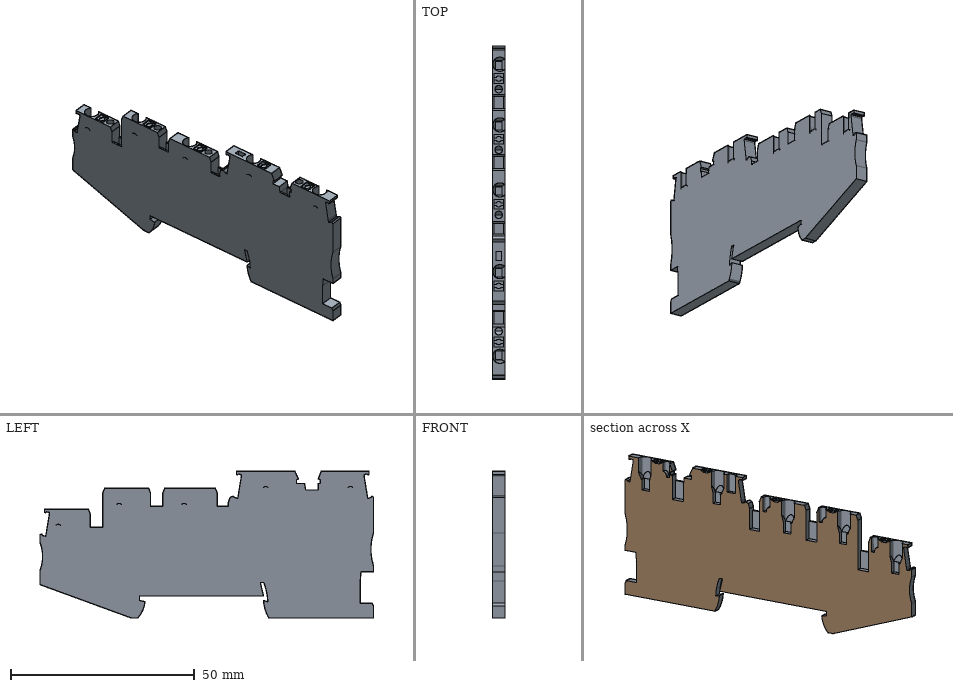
import cadquery as cq
import math

THICKNESS = 3.5
LENGTH = 90.8
HEIGHT = 40.0
HALF_X = THICKNESS / 2
FRONT = -LENGTH / 2
BACK = LENGTH / 2

LOW_DECK = 29.7
MID_DECK = 35.4
HIGH_DECK = HEIGHT

GAP_LOW = (FRONT + 73.75, FRONT + 77.05)
GAP_MID = (FRONT + 57.4, FRONT + 60.65)
GAP_STEP = (FRONT + 39.55, FRONT + 42.5)
GAP_HIGH = (FRONT + 15.1, FRONT + 18.45)
GAP_DEPTH = 4.9
LOW_FLOOR = LOW_DECK - GAP_DEPTH
MID_FLOOR = MID_DECK - GAP_DEPTH
HIGH_FLOOR = HIGH_DECK - 5.1

SHELF_HEIGHT = 36.7
UNDERCUT_HEIGHT = 37.65
NOSE_HEIGHT = 37.85
SHELF_FRONT = FRONT + 14.55
SHELF_BACK = FRONT + 20.95
NOSE_OVERHANG = 0.55
NOSE_SLOPE_FRONT = 0.85
NOSE_SLOPE_BACK = 1.0
HIGH_WALL_LEAN = 0.3

BEVEL_RUN = 0.55
BEVEL_DROP = 1.4

LIP_FRONT = FRONT + 1.2
LIP_STEP = FRONT + 37.35
LIP_BACK = BACK - 1.2
LIP_HEIGHT = 0.85
NECK_TOP_INSET = 1.35
NECK_FOOT_INSET = 0.45
NECK_FOOT_DROP = 7.2

HOLLOW_DEPTH = 0.7
FRONT_HOLLOW = (14.2, 23.2)
BACK_HOLLOW = (13.0, 20.6)

FOOT_HEIGHT = 4.1
FOOT_CHAMFER_RUN = 0.4
FOOT_CHAMFER_DROP = 0.8
SLOT_TOP = 12.6
SLOT_BEND = 10.1
SLOT_DEPTH = 3.6
SLOT_TOP_DEPTH = 3.4

HUMP_HEIGHT = 0.4
SHOULDER_HEIGHT = 31.5

BELLY_HEIGHT = 9.1
BELLY_END = FRONT + 65.9
SEAT_HEIGHT = 6.0
SEAT_BACK = FRONT + 63.7
SEAT_FRONT = FRONT + 29.9
CLAW_HEIGHT = 4.5
CLAW_ROOT_HEIGHT = 4.85
FIXED_CLAW_FOOT = FRONT + 64.2
FIXED_CLAW_BELLY = (FRONT + 62.9, 1.9)
FIXED_CLAW_TIP = FRONT + 62.2
SLIT_TOP = 9.7
SLIT_WIDTH = 0.9
SLIT_BELLY = (FRONT + 29.2, 7.4)
SLIT_FOOT = FRONT + 28.8
SPRUNG_CLAW_TIP = FRONT + 30.0
SPRUNG_CLAW_BELLY = (FRONT + 29.5, 2.2)
SPRUNG_CLAW_FOOT = FRONT + 28.5

ENTRY_RADIUS = 1.93
ENTRY_SHIFT_X = 0.33
ENTRY_DEPTH = 4.0
FUNNEL_DEPTH = 2.0
FUNNEL_SIDE = 2 * ENTRY_RADIUS + 0.1
WIRE_SLOT_X = 1.9
WIRE_SLOT_Y = 2.2
WIRE_SLOT_SHIFT = 0.3
WIRE_SLOT_DEPTH = 3.0
SLOT_LEDGE = 0.25

BUTTON_OFFSET = 3.9
BUTTON_X = 2.46
BUTTON_Y = 2.65
BUTTON_RECESS = 0.3
BUTTON_HEAD_RADIUS = 0.75
DRIVER_SLOT_WIDTH = 0.7
HEAD_DEPTH = 0.3

TEST_OFFSET = 6.8
TEST_RADIUS = 1.0
TEST_DEPTH = 4.0
TEST_STEP = 1.6
STEP_SHIFT = 0.1
STEP_RADIUS = 1.4
STEP_ARC_MID = STEP_RADIUS * (1 - math.sqrt(0.5))

SHAFT_X = 2.46
SHAFT_DEPTH = 5.0
SMALL_SHAFT_X = 1.37
SMALL_SHAFT_Y = 2.46
SMALL_SHAFT_OFFSET = 4.3

BRIDGED_ENTRY_Y = FRONT + 29.35
TERMINALS = [
    (FRONT + 85.8, LOW_DECK, -1, True),
    (FRONT + 69.3, MID_DECK, -1, True),
    (FRONT + 51.6, MID_DECK, -1, True),
    (BRIDGED_ENTRY_Y, HIGH_DECK, -1, False),
    (FRONT + 6.3, HIGH_DECK, 1, True),
]


def catch(lip_y, deck, inward):
    """Outline of a catch from its top corner down to the foot of the neck."""
    steps = [
        (0, 0),
        (0, -LIP_HEIGHT),
        (0.3, -LIP_HEIGHT - 0.2),
        (0.6, -LIP_HEIGHT + 0.05),
        (NECK_TOP_INSET - 0.05, -LIP_HEIGHT - 0.1),
        (NECK_TOP_INSET, -LIP_HEIGHT - 0.5),
        (NECK_FOOT_INSET, -NECK_FOOT_DROP + 0.4),
        (NECK_FOOT_INSET - 0.1, -NECK_FOOT_DROP - 0.15),
    ]
    return [(lip_y + inward * s, deck + z) for s, z in steps]


def gap_near_wall(y, deck, floor):
    """Bevelled wall on the -Y side of a gap, from the deck down to the floor."""
    return [(y - BEVEL_RUN, deck), (y, deck - BEVEL_DROP), (y, floor)]


def gap_far_wall(y, deck, floor):
    """Bevelled wall on the +Y side of a gap, from the floor up to the deck."""
    return [(y, floor), (y, deck - BEVEL_DROP), (y + BEVEL_RUN, deck)]


def through(wire, points):
    for point in points:
        wire = wire.lineTo(*point)
    return wire


def hollow(wire, y, inward_y, start_z, end_z):
    """Shallow arc in an end face at `y`, bottoming at `inward_y`."""
    return wire.lineTo(y, start_z).threePointArc((inward_y, (start_z + end_z) / 2), (y, end_z))


def front_face(wire):
    """From the foot up past the slot and the finger hollow to the front catch."""
    ledge = HIGH_DECK - NECK_FOOT_DROP
    wire = through(wire, [
        (FRONT, FOOT_HEIGHT - FOOT_CHAMFER_DROP),
        (FRONT + FOOT_CHAMFER_RUN, FOOT_HEIGHT),
        (FRONT + SLOT_DEPTH, FOOT_HEIGHT),
        (FRONT + SLOT_DEPTH, SLOT_BEND),
        (FRONT + SLOT_TOP_DEPTH, SLOT_TOP),
        (FRONT, SLOT_TOP),
    ])
    wire = hollow(wire, FRONT, FRONT + HOLLOW_DEPTH, *FRONT_HOLLOW)
    wire = through(wire, [
        (FRONT, ledge + 0.1),
        (FRONT + 0.4, ledge + HUMP_HEIGHT),
        (FRONT + 0.9, ledge),
    ])
    return through(wire, reversed(catch(LIP_FRONT, HIGH_DECK, 1)))


def high_deck(wire):
    """High deck with its stepped gap, ending at the foot of the step catch."""
    near, far = GAP_HIGH
    nose_front = SHELF_FRONT + NOSE_OVERHANG
    nose_back = SHELF_BACK - NOSE_OVERHANG
    wire = through(wire, [
        (nose_front - NOSE_SLOPE_FRONT, HIGH_DECK),
        (nose_front, NOSE_HEIGHT),
        (SHELF_FRONT, UNDERCUT_HEIGHT),
        (SHELF_FRONT, SHELF_HEIGHT),
        (near, SHELF_HEIGHT),
        (near, HIGH_FLOOR),
        (far, HIGH_FLOOR),
        (far + HIGH_WALL_LEAN, SHELF_HEIGHT),
        (SHELF_BACK, SHELF_HEIGHT),
        (SHELF_BACK, UNDERCUT_HEIGHT),
        (nose_back, NOSE_HEIGHT),
        (nose_back + NOSE_SLOPE_BACK, HIGH_DECK),
    ])
    return through(wire, catch(LIP_STEP, HIGH_DECK, -1))


def lower_decks(wire):
    """From the shoulder below the step catch over the middle and low decks."""
    ledge = HIGH_DECK - NECK_FOOT_DROP
    step_near, step_far = GAP_STEP
    mid_near, mid_far = GAP_MID
    low_near, low_far = GAP_LOW
    wire = through(wire, [
        (LIP_STEP + 0.25, ledge),
        (LIP_STEP + 0.95, ledge + HUMP_HEIGHT),
        (LIP_STEP + 1.75, ledge + 0.05),
        (step_near, SHOULDER_HEIGHT),
        (step_near, MID_FLOOR),
    ])
    wire = through(wire, gap_far_wall(step_far, MID_DECK, MID_FLOOR))
    wire = through(wire, gap_near_wall(mid_near, MID_DECK, MID_FLOOR))
    wire = through(wire, gap_far_wall(mid_far, MID_DECK, MID_FLOOR))
    wire = through(wire, gap_near_wall(low_near, MID_DECK, LOW_FLOOR))
    wire = through(wire, gap_far_wall(low_far, LOW_DECK, LOW_FLOOR))
    return through(wire, catch(LIP_BACK, LOW_DECK, -1))


def back_face(wire):
    ledge = LOW_DECK - NECK_FOOT_DROP
    wire = through(wire, [
        (BACK - 0.7, ledge),
        (BACK - 0.55, ledge + HUMP_HEIGHT),
        (BACK, ledge + 0.25),
    ])
    return hollow(wire, BACK, BACK - HOLLOW_DEPTH, *reversed(BACK_HOLLOW))


def underside(wire):
    """Sloping belly, fixed claw, rail seat, spring slit and sprung claw."""
    wire = through(wire, [(BACK, BELLY_HEIGHT), (BELLY_END, 0), (FIXED_CLAW_FOOT, 0)])
    wire = wire.threePointArc(FIXED_CLAW_BELLY, (FIXED_CLAW_TIP, CLAW_HEIGHT))
    wire = through(wire, [
        (SEAT_BACK, CLAW_ROOT_HEIGHT),
        (SEAT_BACK, SEAT_HEIGHT),
        (SEAT_FRONT, SEAT_HEIGHT),
        (SEAT_FRONT + SLIT_WIDTH, SLIT_TOP),
        (SEAT_FRONT, SLIT_TOP),
    ])
    wire = wire.threePointArc(SLIT_BELLY, (SLIT_FOOT, CLAW_HEIGHT))
    wire = wire.lineTo(SPRUNG_CLAW_TIP, CLAW_ROOT_HEIGHT)
    return wire.threePointArc(SPRUNG_CLAW_BELLY, (SPRUNG_CLAW_FOOT, 0))


def housing():
    wire = cq.Workplane("YZ").moveTo(FRONT, 0)
    for stretch in (front_face, high_deck, lower_decks, back_face, underside):
        wire = stretch(wire)
    return wire.close().extrude(HALF_X, both=True)


def box_down(x_size, y_size, depth, y, top):
    """Rectangular cutter hanging down from `top`, centred on X."""
    return cq.Workplane("XY", origin=(0, y, top)).rect(x_size, y_size).extrude(-depth)


def round_down(radius, depth, x, y, top):
    return cq.Workplane("XY", origin=(x, y, top)).circle(radius).extrude(-depth)


def wire_entry(y, deck, toward):
    """Round mouth opening through the +X face, a four-sided funnel, and a wire slot behind a ledge."""
    mouth = round_down(ENTRY_RADIUS, ENTRY_DEPTH, ENTRY_SHIFT_X, y, deck)
    funnel_top = deck - ENTRY_DEPTH
    slot_y = y + toward * WIRE_SLOT_SHIFT
    funnel = (
        cq.Workplane("XY", origin=(ENTRY_SHIFT_X, y, funnel_top))
        .rect(FUNNEL_SIDE, FUNNEL_SIDE)
        .workplane(offset=-FUNNEL_DEPTH)
        .center(-ENTRY_SHIFT_X, slot_y - y - toward * SLOT_LEDGE / 2)
        .rect(WIRE_SLOT_X, WIRE_SLOT_Y + SLOT_LEDGE)
        .loft(ruled=True)
    )
    funnel = funnel.intersect(round_down(ENTRY_RADIUS, FUNNEL_DEPTH, ENTRY_SHIFT_X, y, funnel_top))
    slot = box_down(WIRE_SLOT_X, WIRE_SLOT_Y, WIRE_SLOT_DEPTH, slot_y, funnel_top - FUNNEL_DEPTH)
    return mouth.union(funnel).union(slot)


def release_button(y, deck):
    recess_floor = deck - BUTTON_RECESS
    recess = box_down(BUTTON_X, BUTTON_Y, BUTTON_RECESS, y, deck)
    head = round_down(BUTTON_HEAD_RADIUS, HEAD_DEPTH, 0, y, recess_floor)
    driver_slot = box_down(BUTTON_X, DRIVER_SLOT_WIDTH, HEAD_DEPTH, y, recess_floor)
    return recess.union(head).union(driver_slot)


def test_hole(y, deck, toward):
    """Round hole; the floor half nearer the button rises as a rounded step."""
    hole = round_down(TEST_RADIUS, TEST_DEPTH, 0, y, deck)
    away = -toward
    step = (
        cq.Workplane("YZ", origin=(0, y + toward * STEP_SHIFT, deck - TEST_DEPTH))
        .lineTo(0, TEST_STEP - STEP_RADIUS)
        .threePointArc((away * STEP_ARC_MID, TEST_STEP - STEP_ARC_MID), (away * STEP_RADIUS, TEST_STEP))
        .lineTo(away * STEP_RADIUS, 0)
        .close()
        .extrude(STEP_RADIUS, both=True)
    )
    return hole.cut(step)


def gap_shaft(span, floor):
    near, far = span
    return box_down(SHAFT_X, far - near, SHAFT_DEPTH, (near + far) / 2, floor)


result = housing()
for entry_y, deck, toward, has_test_hole in TERMINALS:
    result = result.cut(wire_entry(entry_y, deck, toward))
    result = result.cut(release_button(entry_y + toward * BUTTON_OFFSET, deck))
    if has_test_hole:
        result = result.cut(test_hole(entry_y + toward * TEST_OFFSET, deck, toward))

for span, floor in [(GAP_LOW, LOW_FLOOR), (GAP_MID, MID_FLOOR), (GAP_STEP, MID_FLOOR), (GAP_HIGH, HIGH_FLOOR)]:
    result = result.cut(gap_shaft(span, floor))

result = result.cut(
    box_down(SMALL_SHAFT_X, SMALL_SHAFT_Y, SHAFT_DEPTH, BRIDGED_ENTRY_Y + SMALL_SHAFT_OFFSET, HIGH_DECK)
)